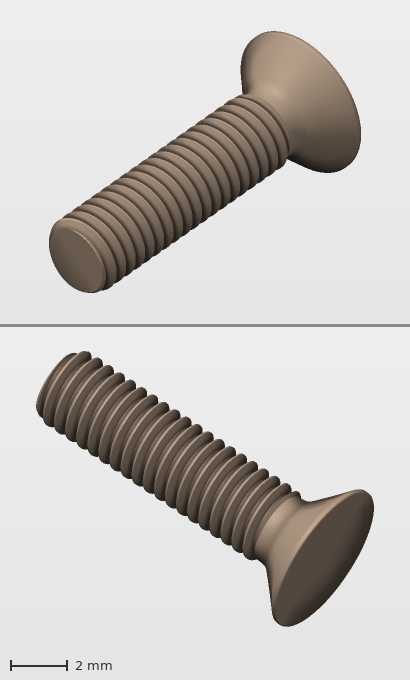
import cadquery as cq
import math


length = 12.0
head_radius = 2.802
rim_height = 0.18
rim_round = 0.06

neck_radius = 1.33
neck_fillet = 0.78
neck_end_depth = 2.12

thread_length = length - neck_end_depth
crest_radius = 1.5
root_radius = 1.194
pitch = length / 24
crest_width = pitch / 8
flank_angle = math.radians(30)

tip_radius = 1.3
tip_bevel_angle = math.radians(30)
neck_bevel_angle = math.radians(45)
bevel_margin = 0.36

run_out_turns = 2
root_overlap = 0.02
seam_angle = 50


def make_head():
    """Countersunk 90 degree head, blended by a fillet into the neck."""
    cone_angle = math.radians(45)
    middle_angle = cone_angle / 2
    fillet_top_radius = neck_radius + neck_fillet * (1 - math.cos(cone_angle))
    rim_bottom = length - rim_height
    fillet_top = rim_bottom - (head_radius - fillet_top_radius) / math.tan(cone_angle)
    fillet_bottom = fillet_top - neck_fillet * math.sin(cone_angle)
    fillet_middle = (
        neck_radius + neck_fillet * (1 - math.cos(middle_angle)),
        fillet_bottom + neck_fillet * math.sin(middle_angle),
    )
    head = (
        cq.Workplane("XZ")
        .moveTo(0, thread_length)
        .lineTo(neck_radius, thread_length)
        .lineTo(neck_radius, fillet_bottom)
        .threePointArc(fillet_middle, (fillet_top_radius, fillet_top))
        .lineTo(head_radius, rim_bottom)
        .lineTo(head_radius, length)
        .lineTo(0, length)
        .close()
        .revolve(360, (0, 0, 0), (0, 1, 0))
    )
    largest_circles = cq.selectors.RadiusNthSelector(-1)
    return head.edges(largest_circles).fillet(rim_round)


def make_core():
    """Plain cylinder at the thread root."""
    core = cq.Workplane("XY").circle(root_radius).extrude(thread_length)
    return core.rotate((0, 0, 0), (0, 0, 1), seam_angle)


def make_end_envelope():
    """Solid of revolution that trims and bevels the ridge at both ends."""
    outer_radius = crest_radius + bevel_margin
    tip_bevel_height = (outer_radius - tip_radius) / math.tan(tip_bevel_angle)
    neck_bevel_height = (outer_radius - neck_radius) / math.tan(neck_bevel_angle)
    return (
        cq.Workplane("XZ")
        .polyline([
            (0, 0),
            (tip_radius, 0),
            (outer_radius, tip_bevel_height),
            (outer_radius, thread_length - neck_bevel_height),
            (neck_radius, thread_length),
            (0, thread_length),
        ])
        .close()
        .revolve(360, (0, 0, 0), (0, 1, 0))
        .rotate((0, 0, 0), (0, 0, 1), seam_angle)
    )


def make_end_cap(points):
    """Flat face closing one end of the ridge."""
    return cq.Face.makeFromWires(cq.Wire.makePolygon(points, close=True))


def make_ridge():
    """Right-hand trapezoidal thread ridge, trimmed by the end bevels."""
    base_radius = root_radius - root_overlap
    crest_half = crest_width / 2
    base_half = crest_half + (crest_radius - base_radius) * math.tan(flank_angle)
    corners = [
        (base_radius, -base_half),
        (crest_radius, -crest_half),
        (crest_radius, crest_half),
        (base_radius, base_half),
    ]
    turns = math.ceil(thread_length / pitch) + 2 * run_out_turns
    faces = []
    for turn in range(turns):
        turn_start = (turn - run_out_turns) * pitch
        helices = [
            cq.Wire.makeHelix(pitch, pitch, radius, cq.Vector(0, 0, turn_start + offset))
            for radius, offset in corners
        ]
        next_helices = helices[1:] + helices[:1]
        faces += [cq.Face.makeRuledSurface(a, b) for a, b in zip(helices, next_helices)]
        if turn == 0:
            faces.append(make_end_cap([helix.startPoint() for helix in helices]))
        if turn == turns - 1:
            faces.append(make_end_cap([helix.endPoint() for helix in helices]))
    ridge = cq.Solid.makeSolid(cq.Shell.makeShell(faces))
    return cq.Workplane(obj=ridge).intersect(make_end_envelope())


threaded_rod = make_core().union(make_ridge())
screw = make_head().union(threaded_rod)

result = screw.rotate((0, 0, 0), (1, 0, 0), -90).solids()